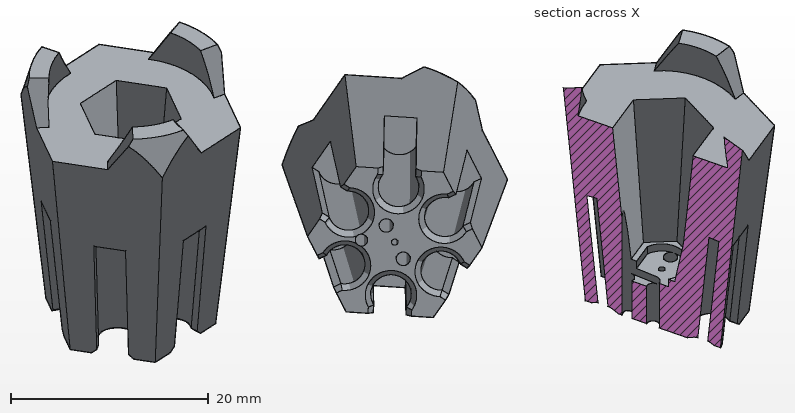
import cadquery as cq
import math

TOTAL_HEIGHT = 30.0
TOOTH_HEIGHT = 4.4
SHOULDER_Z = TOTAL_HEIGHT - TOOTH_HEIGHT
SHOULDER_CORNER_DIA = 22.86
BODY_DRAFT = 5.0
HEX_SIDES = 6
CORNER_TO_FLAT = math.cos(math.pi / HEX_SIDES)

SHOULDER_FLATS = SHOULDER_CORNER_DIA * CORNER_TO_FLAT
BASE_FLATS = SHOULDER_FLATS - 2 * SHOULDER_Z * math.tan(math.radians(BODY_DRAFT))

TOOTH_COUNT = 3
TOOTH_TOP_ANGLE = 30.0
TOOTH_FLANK_ANGLE = 30.0
TOOTH_INNER_TOP_RADIUS = 8.25
TOOTH_INNER_BASE_RADIUS = 8.69
TOOTH_OUTER_ANGLE = 15.0
TOOTH_OUTER_BASE_RADIUS = SHOULDER_CORNER_DIA / 2
TOOTH_OUTER_TOP_RADIUS = TOOTH_OUTER_BASE_RADIUS - TOOTH_HEIGHT * math.tan(math.radians(TOOTH_OUTER_ANGLE))

SOCKET_TOP_FLATS = 9.08
SOCKET_FLOOR_FLATS = 5.87
SOCKET_DRAFT = 5.0
SOCKET_DEPTH = (SOCKET_TOP_FLATS - SOCKET_FLOOR_FLATS) / 2 / math.tan(math.radians(SOCKET_DRAFT))
SOCKET_FLOOR_Z = SHOULDER_Z - SOCKET_DEPTH

SEAT_DIA = 5.3
SEAT_FLATS = 4.6
SEAT_DEPTH = 1.0
SEAT_FLOOR_Z = SOCKET_FLOOR_Z - SEAT_DEPTH
CHANNEL_DEPTH = 1.0
CHANNEL_FLOOR_Z = SEAT_FLOOR_Z - CHANNEL_DEPTH
LEAD_HOLE_DIA = 1.42
LEAD_HOLE_X = 1.95
CENTER_HOLE_DIA = 0.65
SIDE_HOLE_DIA = 1.25
SIDE_HOLE_X = -1.67
SIDE_HOLE_Y = 2.93

BORE_RADIUS = 2.05
OPENING_WIDTH = 3.3
SLOT_TOP_Z = 14.75
MOUTH_CHAMFER = 0.55

OVERCUT = 2.0


def tapered_hexagon(bottom_z, bottom_flats, height, draft):
    """Hexagonal frustum that widens upwards by the draft angle."""
    top_flats = bottom_flats + 2 * height * math.tan(math.radians(draft))
    return (
        cq.Workplane("XY")
        .workplane(offset=bottom_z)
        .polygon(HEX_SIDES, bottom_flats / CORNER_TO_FLAT)
        .workplane(offset=height)
        .polygon(HEX_SIDES, top_flats / CORNER_TO_FLAT)
        .loft(ruled=True)
    )


def vertical_hole(x, y, diameter, top_z):
    """Cylinder from the base up to top_z."""
    return cq.Workplane("XY").center(x, y).circle(diameter / 2).extrude(top_z)


def repeat_around_axis(tool, count):
    """Union of evenly spaced copies of a shape around the Z axis."""
    copies = tool
    for i in range(1, count):
        copies = copies.union(tool.rotate((0, 0, 0), (0, 0, 1), i * 360 / count))
    return copies


def make_flank_limit(side):
    """Block bounded by one sloping tooth flank; side is +1 for the +Y flank, -1 for the other."""
    flank_run = TOOTH_HEIGHT * math.tan(math.radians(TOOTH_FLANK_ANGLE))
    return (
        cq.Workplane("YZ")
        .moveTo(-side * SHOULDER_CORNER_DIA, SHOULDER_Z)
        .lineTo(side * flank_run, SHOULDER_Z)
        .lineTo(0, TOTAL_HEIGHT)
        .lineTo(-side * SHOULDER_CORNER_DIA, TOTAL_HEIGHT)
        .close()
        .extrude(SHOULDER_CORNER_DIA)
        .rotate((0, 0, 0), (0, 0, 1), side * TOOTH_TOP_ANGLE / 2)
    )


def make_crown():
    """Teeth cut from a ring with conical inner and outer walls on the extended body hexagon."""
    ring = (
        cq.Workplane("XZ")
        .moveTo(TOOTH_INNER_BASE_RADIUS, SHOULDER_Z)
        .lineTo(TOOTH_OUTER_BASE_RADIUS, SHOULDER_Z)
        .lineTo(TOOTH_OUTER_TOP_RADIUS, TOTAL_HEIGHT)
        .lineTo(TOOTH_INNER_TOP_RADIUS, TOTAL_HEIGHT)
        .close()
        .revolve(360, (0, 0, 0), (0, 1, 0))
    )
    hexagon = tapered_hexagon(SHOULDER_Z, SHOULDER_FLATS, TOOTH_HEIGHT, BODY_DRAFT)
    wedge = make_flank_limit(1).intersect(make_flank_limit(-1))
    tooth = ring.intersect(hexagon).intersect(wedge)
    return repeat_around_axis(tooth, TOOTH_COUNT)


def make_slot():
    """Cutter for the bore under the -Y face and its narrower opening."""
    length = OVERCUT + SLOT_TOP_Z / math.cos(math.radians(BODY_DRAFT))
    opening_length = OVERCUT + BORE_RADIUS
    opening_middle = BORE_RADIUS - opening_length / 2

    start = cq.Workplane("XY").workplane(offset=-OVERCUT)
    bore = start.center(0, BORE_RADIUS).circle(BORE_RADIUS).extrude(length)
    opening = start.center(0, opening_middle).rect(OPENING_WIDTH, opening_length).extrude(length)
    slot = bore.union(opening).rotate((0, 0, 0), (1, 0, 0), BODY_DRAFT)
    return slot.translate((0, -BASE_FLATS / 2, 0))


def make_slotted_body():
    """Tapered hexagon with a slot in each side face, chamfered where the slots leave the base."""
    body = tapered_hexagon(0, BASE_FLATS, SHOULDER_Z, BODY_DRAFT)
    slotted = body.cut(repeat_around_axis(make_slot(), HEX_SIDES))
    slot_edges = []
    for edge in slotted.faces("<Z").edges().vals():
        middle = edge.positionAt(0.5)
        if math.hypot(middle.x, middle.y) < BASE_FLATS / 2:
            slot_edges.append(edge)
    return slotted.newObject(slot_edges).chamfer(MOUTH_CHAMFER)


def make_seat():
    """Round seat with two flats parallel to X."""
    seat = cq.Workplane("XY").workplane(offset=SEAT_FLOOR_Z).circle(SEAT_DIA / 2).extrude(SEAT_DEPTH)
    flats = cq.Workplane("XY").workplane(offset=SEAT_FLOOR_Z).rect(SEAT_DIA, SEAT_FLATS).extrude(SEAT_DEPTH)
    return seat.intersect(flats)


def make_channel():
    """Tapering channel that joins the side hole to the lead hole at -X."""
    lead_radius = LEAD_HOLE_DIA / 2
    side_radius = SIDE_HOLE_DIA / 2
    run_x = SIDE_HOLE_X + LEAD_HOLE_X
    span = math.hypot(run_x, SIDE_HOLE_Y)
    direction = math.atan2(SIDE_HOLE_Y, run_x)
    spread = math.acos((lead_radius - side_radius) / span)
    corners = []
    for x, y, radius, angle in (
        (-LEAD_HOLE_X, 0, lead_radius, direction + spread),
        (SIDE_HOLE_X, SIDE_HOLE_Y, side_radius, direction + spread),
        (SIDE_HOLE_X, SIDE_HOLE_Y, side_radius, direction - spread),
        (-LEAD_HOLE_X, 0, lead_radius, direction - spread),
    ):
        corners.append((x + radius * math.cos(angle), y + radius * math.sin(angle)))
    height = SOCKET_FLOOR_Z - CHANNEL_FLOOR_Z
    return cq.Workplane("XY").workplane(offset=CHANNEL_FLOOR_Z).polyline(corners).close().extrude(height)


def make_holes():
    """Lead, centre and side holes through the floor."""
    holes = vertical_hole(0, 0, CENTER_HOLE_DIA, SOCKET_FLOOR_Z)
    for x in (-LEAD_HOLE_X, LEAD_HOLE_X):
        holes = holes.union(vertical_hole(x, 0, LEAD_HOLE_DIA, SOCKET_FLOOR_Z))
    return holes.union(vertical_hole(SIDE_HOLE_X, SIDE_HOLE_Y, SIDE_HOLE_DIA, SHOULDER_Z))


result = (
    make_slotted_body()
    .union(make_crown())
    .cut(tapered_hexagon(SOCKET_FLOOR_Z, SOCKET_FLOOR_FLATS, SOCKET_DEPTH, SOCKET_DRAFT))
    .cut(make_seat())
    .cut(make_channel())
    .cut(make_holes())
)